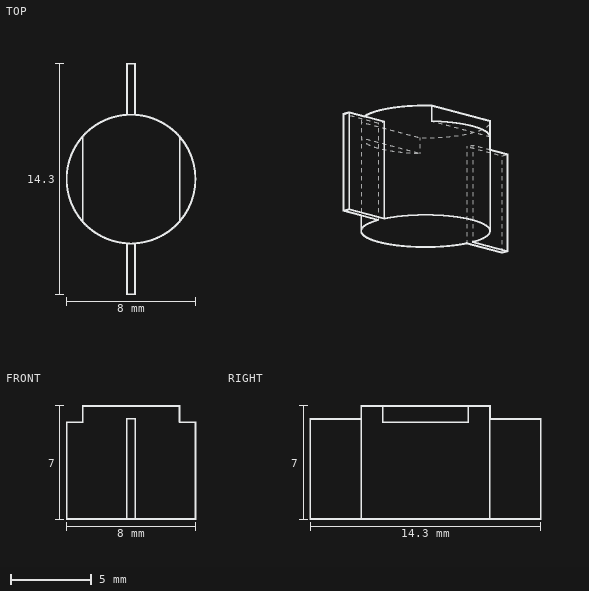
import cadquery as cq

body_diameter = 8.0
body_height = 7.0
flat_width = 6.0
step_depth = 1.0
fin_span = 14.3
fin_thickness = 0.5
fin_height = 6.2

body = cq.Workplane("XY").circle(body_diameter / 2).extrude(body_height)

step_width = (body_diameter - flat_width) / 2
step_offset = (flat_width + step_width) / 2
steps = (
    cq.Workplane("XY", origin=(0, 0, body_height - step_depth))
    .pushPoints([(-step_offset, 0), (step_offset, 0)])
    .rect(step_width, body_diameter)
    .extrude(step_depth)
)

fins = cq.Workplane("XY").rect(fin_thickness, fin_span).extrude(fin_height)

result = body.cut(steps).union(fins)